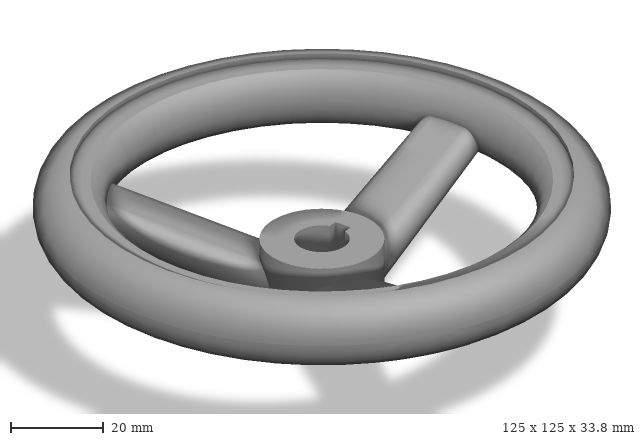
import cadquery as cq
import math


wheel_diameter = 125.0
rim_tube_radius = 8.0
overall_height = 33.8
rim_radius = wheel_diameter / 2 - rim_tube_radius
rim_height = overall_height - rim_tube_radius

step_depth = 1.4

hub_diameter = 27.0
hub_height = 18.0
bore_diameter = 12.0
key_width = 4.0
key_depth = 1.8

spoke_count = 3
first_spoke_angle = 90.0
spoke_flat_width = 8.6
spoke_root_radius = 9.0
spoke_root_height = 7.4
spoke_root_thickness = 9.3
spoke_tip_thickness = 6.5


def make_rim():
    tube = cq.Workplane("XY").add(cq.Solid.makeTorus(rim_radius, rim_tube_radius))
    tube = tube.translate((0, 0, rim_height))
    step = (
        cq.Workplane("XY", origin=(0, 0, overall_height - step_depth))
        .circle(rim_radius)
        .extrude(step_depth)
    )
    return tube.cut(step)


def make_hub():
    return cq.Workplane("XY").circle(hub_diameter / 2).extrude(hub_height)


def make_spoke(angle):
    run = rim_radius - spoke_root_radius
    rise = rim_height - spoke_root_height
    root_plane = cq.Plane(
        origin=(spoke_root_radius, 0, spoke_root_height),
        xDir=(0, 1, 0),
        normal=(run, 0, rise),
    )
    spoke = (
        cq.Workplane(root_plane)
        .slot2D(spoke_flat_width + spoke_root_thickness, spoke_root_thickness)
        .workplane(offset=math.hypot(run, rise))
        .slot2D(spoke_flat_width + spoke_tip_thickness, spoke_tip_thickness)
        .loft(ruled=True)
    )
    return spoke.rotate((0, 0, 0), (0, 0, 1), angle)


def make_keyed_bore():
    bore = cq.Workplane("XY").circle(bore_diameter / 2).extrude(hub_height)
    key_top = bore_diameter / 2 + key_depth
    keyway = (
        cq.Workplane("XY")
        .center(0, key_top / 2)
        .rect(key_width, key_top)
        .extrude(hub_height)
    )
    return bore.union(keyway)


wheel = make_rim().union(make_hub())
for index in range(spoke_count):
    wheel = wheel.union(make_spoke(first_spoke_angle + index * 360.0 / spoke_count))

result = wheel.cut(make_keyed_bore())